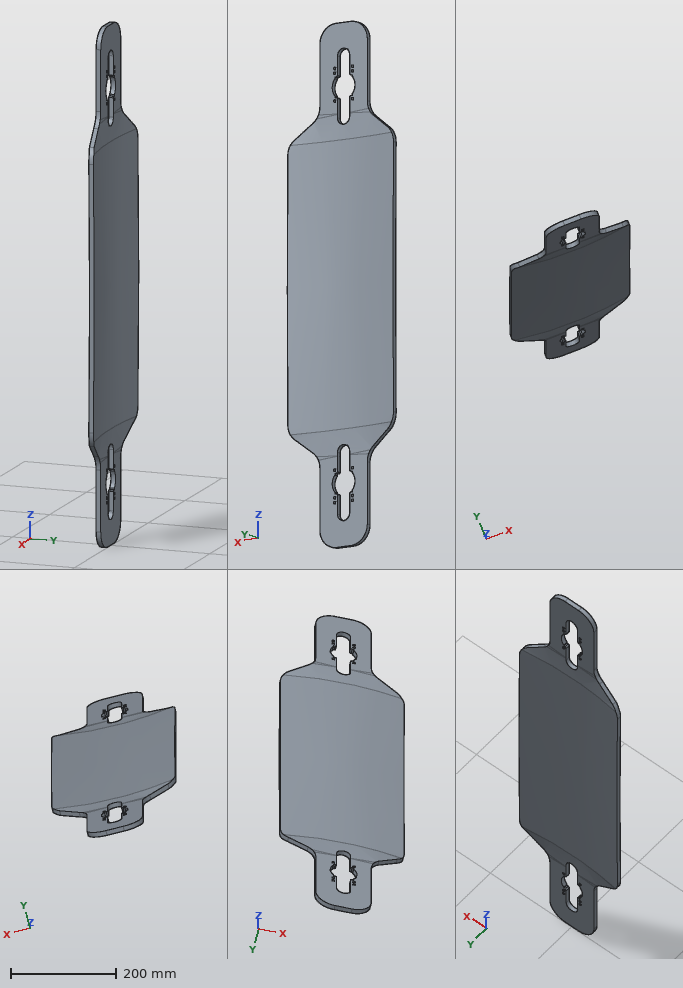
import cadquery as cq

length = 1016.0
width = 242.0
depth = 21.0
thickness = 9.7

deck_end_z = 280.0
deck_lift = 0.2
camber = 1.8
rim_rise = depth - thickness - deck_lift - camber

fold_z = 331.0
fold_radius = 142.0

tab_width = 109.0
corner_radius = 38.0

cutout_z = 384.0
slot_length = 147.0
slot_width = 27.0
opening_diameter = 52.0
opening_square = 40.0

bolt_diameter = 5.0
bolt_spacing_x = 41.0
inner_bolt_z = 358.0
bolt_row_offsets = (0, 54.0, 63.0)


def flat_section(workplane):
    """Cross-section of a flat tab, as wide as the whole board."""
    return workplane.center(0, thickness / 2).rect(width, thickness)


def dished_section(workplane, lift):
    """Cross-section of the deck: the middle stands `lift` above the tabs, the rims `rim_rise` more."""
    half = width / 2
    front_rim = lift + rim_rise
    back_rim = front_rim + thickness
    front = workplane.moveTo(-half, front_rim).threePointArc((0, lift), (half, front_rim))
    back = front.lineTo(half, back_rim).threePointArc((0, lift + thickness), (-half, back_rim))
    return back.close()


def plane_at(z):
    return cq.Workplane("XY", origin=(0, 0, z))


def dished_deck():
    """Middle of the board, dished across its width and slightly cambered along its length."""
    lower = dished_section(plane_at(-deck_end_z), deck_lift)
    middle = dished_section(lower.workplane(offset=deck_end_z), deck_lift + camber)
    upper = dished_section(middle.workplane(offset=deck_end_z), deck_lift)
    return upper.loft()


def upper_end():
    """Flat tab and the ramp that joins it to the deck, with the fold between them rounded."""
    tab = flat_section(plane_at(fold_z)).extrude(length / 2 - fold_z)
    ramp_start = dished_section(plane_at(deck_end_z), deck_lift)
    ramp_top = ramp_start.workplane(offset=fold_z - deck_end_z)
    ramp = (
        ramp_top.moveTo(-width / 2, 0)
        .lineTo(width / 2, 0)
        .lineTo(width / 2, thickness)
        .lineTo(-width / 2, thickness)
        .close()
        .loft(ruled=True)
    )
    margin = 1.0
    around_fold = cq.selectors.BoxSelector(
        (-width, -depth, fold_z - margin), (width, depth, fold_z + margin)
    )
    return tab.union(ramp).edges("|X").edges(around_fold).fillet(fold_radius)


def outline():
    """Board outline: a wide deck tapering to narrow tabs, every corner rounded alike."""
    tab_half = tab_width / 2
    deck_half = width / 2
    upper_right = [(deck_half, deck_end_z), (tab_half, fold_z), (tab_half, length / 2)]
    upper_left = [(-x, z) for x, z in reversed(upper_right)]
    upper = upper_right + upper_left
    lower = [(-x, -z) for x, z in upper]
    blank = cq.Workplane("XZ").polyline(upper + lower).close().extrude(width, both=True)
    return blank.edges("|Y").fillet(corner_radius)


def truck_cutout():
    """Slot, round opening with square shoulders, and the bolt holes of the upper tab."""
    face = cq.Workplane("XZ")
    center = face.center(0, cutout_z)
    slot = center.slot2D(slot_length, slot_width, 90).extrude(width, both=True)
    opening = center.circle(opening_diameter / 2).extrude(width, both=True)
    shoulders = center.rect(opening_square, opening_square).extrude(width, both=True)
    bolt_points = [
        (side * bolt_spacing_x / 2, inner_bolt_z + offset)
        for side in (-1, 1)
        for offset in bolt_row_offsets
    ]
    bolts = face.pushPoints(bolt_points).circle(bolt_diameter / 2).extrude(width, both=True)
    return slot.union(opening).union(shoulders).union(bolts)


end = upper_end()
cutout = truck_cutout()
plate = dished_deck().union(end).union(end.mirror("XY"))
result = plate.intersect(outline()).cut(cutout).cut(cutout.mirror("XY"))